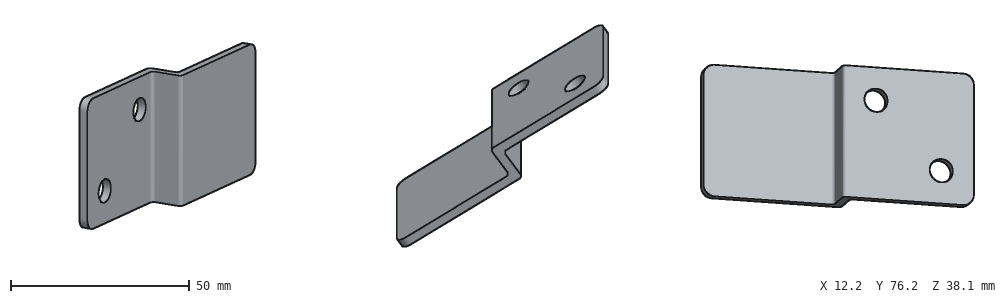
import cadquery as cq

length = 76.2
height = 38.1
offset_depth = 12.2
thickness = 2.7

bend_radius = 1.1
corner_radius = 3.2

hole_diameter = 6.7
hole_pitch = length / 4

half_length = length / 2
front_x = -offset_depth / 2
back_x = offset_depth / 2


def z_profile():
    """Z-shaped section; the web lies just below the middle of the length."""
    outline = [
        (front_x, -half_length),
        (front_x + thickness, -half_length),
        (front_x + thickness, -thickness),
        (back_x, -thickness),
        (back_x, half_length),
        (back_x - thickness, half_length),
        (back_x - thickness, 0),
        (front_x, 0),
    ]
    return cq.Workplane("XY").polyline(outline).close()


def rounded_blank():
    """Sheet outline in the YZ plane, rounded at its four corners."""
    return (
        cq.Workplane("YZ")
        .rect(length, height)
        .extrude(offset_depth / 2, both=True)
        .edges("|X")
        .fillet(corner_radius)
    )


def hole_cutters():
    """Two holes placed diagonally about the centre of the front flange."""
    centers = [
        (-hole_pitch / 2, hole_pitch / 2),
        (-3 * hole_pitch / 2, -hole_pitch / 2),
    ]
    return (
        cq.Workplane("YZ")
        .pushPoints(centers)
        .circle(hole_diameter / 2)
        .extrude(front_x)
    )


bracket = z_profile().extrude(height / 2, both=True)

bend_zone = cq.selectors.BoxSelector(
    (-offset_depth, -2 * thickness, -height),
    (offset_depth, 2 * thickness, height),
)
bracket = bracket.edges("|Z").edges(bend_zone).fillet(bend_radius)

result = bracket.intersect(rounded_blank()).cut(hole_cutters())